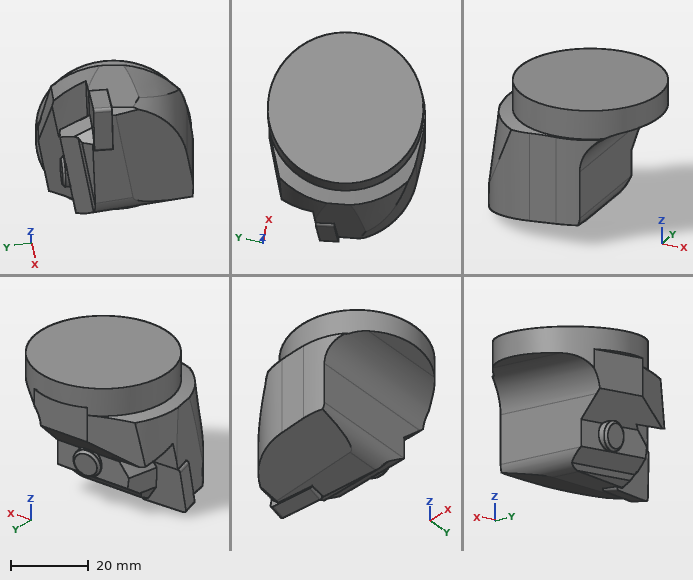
import cadquery as cq
import math

BIG = 93.75

DISC_RADIUS = 40.0 / 2
DISC_HEIGHT = 7.95

SHOULDER_RADIUS = 23.58
SHOULDER_DROP = 0.85
FLARE_ANGLE = 7.0
BODY_RADIUS = 20.5
BODY_BOTTOM = -42.2
NOSE_RADIUS = 18.5
NOSE_CENTER_X = -7.5
WALL_ANGLE = 25.3
WALL_END_X = -29.05

BACK_X = 6.4
BACK_RADIUS = 10.0
BACK_ARC_Z = -16.85
RELIEF_ANGLE = 5.0
BOTTOM_Z = -35.05
CLEARANCE_Z = -35.85
BOTTOM_SLOPE = 4.5
CLEARANCE_ANGLE = 9.6
BOTTOM_CORNER_RADIUS = BACK_RADIUS / 2

FLANK_X = -23.65
FLANK_YAW = 9.0
FLANK_TILT = 4.8
FLANK_CHAMFER_ANGLE = 45.0
FLANK_CHAMFER_POINT = (-25.15, -4.55, -35.5)

SIDE_Y = 18.1
SIDE_TOP = -5.75
GULLET_TOP = -15.75
PAD_Y = 11.0
PAD_BOTTOM = -29.9
LIP_Y, LIP_Z = 6.15, -33.3
TOE_Y, TOE_Z = 5.25, -34.82
BASE_Y, BASE_Z = 2.5, -36.32

TIP = (-26.95, 0.3, -38.1)
INSERT_SIDE = 12.9
INSERT_ANGLE = 80.0
INSERT_THICKNESS = 4.8
INSERT_CORNER_RADIUS = 0.8
RAKE_NORMAL = cq.Vector(-0.15, 0.98, -0.1)
EDGE_RISE = 0.08

POCKET_OVERRUN = 4.7
POCKET_REACH = 14.05
POCKET_DEPTH_RAKE = 8.9
POCKET_DEPTH_FAR = 15.95
POCKET_CEILING_RAKE = 22.05
POCKET_CEILING_FAR = 17.25
POCKET_CEILING_DROP = 3.5
POCKET_UNDERCUT = 5.15
CHIP_LIP_HEIGHT = 5.15
CHIP_TOP_HEIGHT = 11.25

BOSS_DIAMETER = 8.0
BOSS_HEIGHT = 1.87
BOSS_ROOT = 2.8
BOSS_CHAMFER = 0.7
BOSS_X = -3.75
BOSS_Z = -25.83

edge_y = -(RAKE_NORMAL.x + EDGE_RISE * RAKE_NORMAL.z) / RAKE_NORMAL.y
rake_plane = cq.Plane(origin=TIP, xDir=(1, edge_y, EDGE_RISE), normal=(-RAKE_NORMAL).toTuple())


def make_disc():
    return cq.Workplane("XY").circle(DISC_RADIUS).extrude(-DISC_HEIGHT)


def make_body_outline():
    """Upright prism with the rounded nose and the tangent wall."""
    wall = math.radians(WALL_ANGLE)
    tangent_x = -DISC_RADIUS * math.sin(wall)
    tangent_y = DISC_RADIUS * math.cos(wall)
    wall_end_y = tangent_y + (WALL_END_X - tangent_x) * math.tan(wall)
    nose_center_y = NOSE_RADIUS - BODY_RADIUS
    half = math.sqrt(0.5)
    return (
        cq.Workplane("XY")
        .moveTo(NOSE_CENTER_X, -BODY_RADIUS)
        .lineTo(0, -BODY_RADIUS)
        .threePointArc((BODY_RADIUS * half, -BODY_RADIUS * half), (BODY_RADIUS, 0))
        .lineTo(DISC_RADIUS, 0)
        .threePointArc((DISC_RADIUS * half, DISC_RADIUS * half), (tangent_x, tangent_y))
        .lineTo(WALL_END_X, wall_end_y)
        .lineTo(WALL_END_X, nose_center_y)
        .lineTo(NOSE_CENTER_X - NOSE_RADIUS, nose_center_y)
        .threePointArc(
            (NOSE_CENTER_X - NOSE_RADIUS * half, nose_center_y - NOSE_RADIUS * half),
            (NOSE_CENTER_X, -BODY_RADIUS),
        )
        .close()
        .extrude(BODY_BOTTOM)
    )


def make_flare():
    """Turned envelope: conical shoulder above a cone that widens downward."""
    shoulder_z = -DISC_HEIGHT - SHOULDER_DROP
    base_radius = SHOULDER_RADIUS + (shoulder_z - BODY_BOTTOM) * math.tan(math.radians(FLARE_ANGLE))
    return (
        cq.Workplane("XZ")
        .polyline([
            (0, -DISC_HEIGHT),
            (DISC_RADIUS, -DISC_HEIGHT),
            (SHOULDER_RADIUS, shoulder_z),
            (base_radius, BODY_BOTTOM),
            (0, BODY_BOTTOM),
        ])
        .close()
        .revolve(360, (0, 0), (0, 1))
    )


def make_flank_cut():
    """Block outside the flat flank on the -X side."""
    block = cq.Workplane("XY").box(BIG, BIG, BIG).translate((-BIG / 2, 0, 0))
    block = block.rotate((0, 0, 0), (0, 1, 0), FLANK_TILT)
    block = block.rotate((0, 0, 0), (0, 0, 1), FLANK_YAW)
    return block.translate((FLANK_X, 0, -DISC_HEIGHT - SHOULDER_DROP))


def make_flank_chamfer_cut():
    """Block outside the chamfer between the flat flank and the bottom."""
    block = cq.Workplane("XY").box(BIG, BIG, BIG).translate((-BIG / 2, 0, 0))
    block = block.rotate((0, 0, 0), (0, 1, 0), -FLANK_CHAMFER_ANGLE)
    block = block.rotate((0, 0, 0), (0, 0, 1), FLANK_YAW)
    return block.translate(FLANK_CHAMFER_POINT)


def make_back_cut():
    """Relief on the +X side: upright wall, large arc and sloping run-out under the disc."""
    relief = math.radians(RELIEF_ANGLE)
    middle = (math.pi + math.pi / 2 + relief) / 2
    center_x = BACK_X + BACK_RADIUS
    end_x = center_x + BACK_RADIUS * math.cos(math.pi / 2 + relief)
    end_z = BACK_ARC_Z + BACK_RADIUS * math.sin(math.pi / 2 + relief)
    return (
        cq.Workplane("XZ")
        .moveTo(BACK_X, -BIG)
        .lineTo(BACK_X, BACK_ARC_Z)
        .threePointArc(
            (center_x + BACK_RADIUS * math.cos(middle), BACK_ARC_Z + BACK_RADIUS * math.sin(middle)),
            (end_x, end_z),
        )
        .lineTo(BIG, end_z + (BIG - end_x) * math.tan(relief))
        .lineTo(BIG, -BIG)
        .close()
        .extrude(BIG, both=True)
    )


def make_bottom_keep():
    """Space above the main bottom, with its rounded +X corner."""
    slope = math.tan(math.radians(BOTTOM_SLOPE))
    corner_z = BOTTOM_Z + BACK_X * slope
    keep = (
        cq.Workplane("XZ")
        .polyline([
            (-BIG, BOTTOM_Z - BIG * slope),
            (BACK_X, corner_z),
            (BACK_X, BIG),
            (-BIG, BIG),
        ])
        .close()
        .extrude(BIG, both=True)
        .edges(cq.selectors.NearestToPointSelector((BACK_X, 0, corner_z)))
        .fillet(BOTTOM_CORNER_RADIUS)
    )
    upper = cq.Workplane("XY").box(BIG, BIG, BIG).translate((0, 0, BACK_ARC_Z + BIG / 2))
    return keep.union(upper)


def make_clearance_cut():
    """Block below the clearance plane, which rises from the bottom toward -Y."""
    block = cq.Workplane("XY").box(BIG, BIG, BIG).translate((0, 0, -BIG / 2))
    block = block.rotate((0, 0, 0), (0, 1, 0), -BOTTOM_SLOPE)
    block = block.rotate((0, 0, 0), (1, 0, 0), -CLEARANCE_ANGLE)
    return block.translate((0, 0, CLEARANCE_Z))


def make_side_cut():
    """Stepped relief along the +Y side: flat, 45 degree gullet, pad and toe."""
    return (
        cq.Workplane("YZ")
        .polyline([
            (BIG, SIDE_TOP),
            (SIDE_Y, SIDE_TOP),
            (SIDE_Y, GULLET_TOP),
            (PAD_Y, GULLET_TOP - (SIDE_Y - PAD_Y)),
            (PAD_Y, PAD_BOTTOM),
            (LIP_Y, LIP_Z),
            (TOE_Y, TOE_Z),
            (BASE_Y, BASE_Z),
            (BASE_Y, -BIG),
            (BIG, -BIG),
        ])
        .close()
        .extrude(BIG, both=True)
    )


def pocket_corners(depth, ceiling):
    return [
        (-POCKET_OVERRUN, -POCKET_OVERRUN),
        (depth + POCKET_UNDERCUT, -POCKET_OVERRUN),
        (depth, CHIP_LIP_HEIGHT),
        (depth, CHIP_TOP_HEIGHT),
        (depth + POCKET_UNDERCUT, ceiling - POCKET_CEILING_DROP),
        (-POCKET_OVERRUN, ceiling),
    ]


def make_pocket():
    return (
        cq.Workplane(rake_plane)
        .polyline(pocket_corners(POCKET_DEPTH_RAKE, POCKET_CEILING_RAKE))
        .close()
        .workplane(offset=-POCKET_REACH)
        .polyline(pocket_corners(POCKET_DEPTH_FAR, POCKET_CEILING_FAR))
        .close()
        .loft(ruled=True)
    )


def make_boss():
    plane = cq.Plane(
        origin=(BOSS_X, PAD_Y, BOSS_Z), xDir=rake_plane.xDir.toTuple(), normal=RAKE_NORMAL.toTuple()
    )
    return (
        cq.Workplane(plane)
        .workplane(offset=-BOSS_ROOT)
        .circle(BOSS_DIAMETER / 2)
        .extrude(BOSS_ROOT + BOSS_HEIGHT)
        .faces(">Y")
        .chamfer(BOSS_CHAMFER)
    )


def make_insert():
    angle = math.radians(INSERT_ANGLE)
    lean = INSERT_SIDE * math.cos(angle)
    height = INSERT_SIDE * math.sin(angle)
    return (
        cq.Workplane(rake_plane)
        .polyline([(0, 0), (INSERT_SIDE, 0), (INSERT_SIDE + lean, height), (lean, height)])
        .close()
        .extrude(INSERT_THICKNESS)
        .edges(cq.selectors.ParallelDirSelector(RAKE_NORMAL))
        .fillet(INSERT_CORNER_RADIUS)
    )


def make_head(insert):
    body = make_body_outline().intersect(make_flare()).cut(make_flank_cut()).cut(make_flank_chamfer_cut())
    body = body.intersect(make_bottom_keep()).cut(make_clearance_cut())
    head = make_disc().union(body)
    head = head.cut(make_back_cut()).cut(make_side_cut()).cut(make_pocket())
    return head.union(make_boss()).cut(insert)


insert = make_insert()
head = make_head(insert)

result = cq.Compound.makeCompound([head.val(), insert.val()])